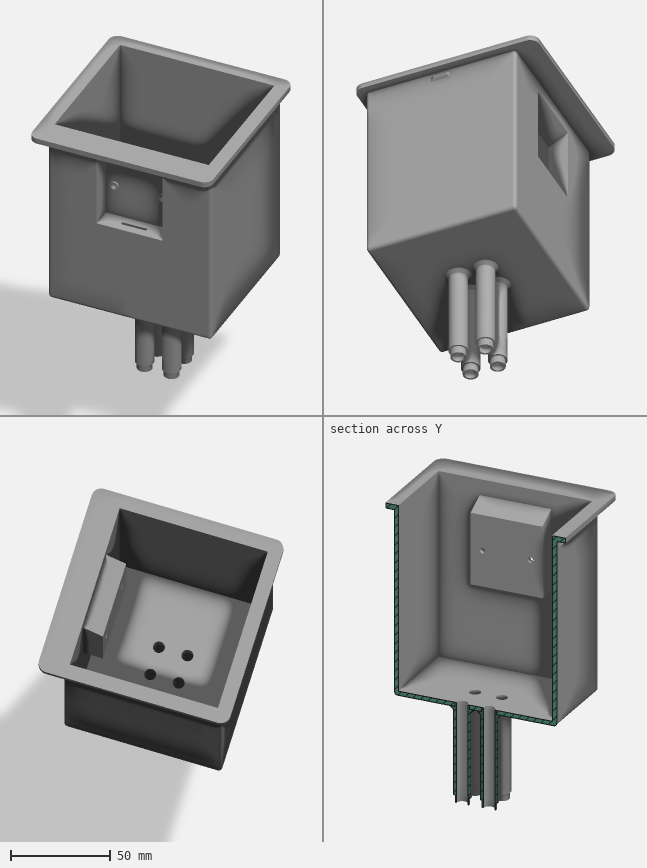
import cadquery as cq


box_length = 90.8
box_width = 83.1
box_height = 105.0
wall = 2.5
edge_radius = 1.9
box_front = -box_width / 2

flange_length = 100.6
flange_width = 100.8
flange_thickness = 3.0
flange_radius = 5.0
flange_rear_overhang = 4.7
flange_center_y = box_width / 2 + flange_rear_overhang - flange_width / 2

pocket_length = 40.0
pocket_height = 46.5
pocket_depth = 13.0
pocket_side_wall = 1.7
pocket_wall = 2.0
pocket_roof_drop = 7.0
pocket_top_setback = 7.5
pocket_top = box_height - pocket_top_setback
pocket_bottom = pocket_top - pocket_height

slot_length = 14.0
slot_width = 1.7
slot_from_front = 5.5

boss_diameter = 5.0
boss_hole_diameter = 3.0
boss_height = 1.0
boss_spacing = 27.0
boss_setback = 34.1
boss_z = box_height - boss_setback

lug_length = 10.0
lug_height = 3.0
lug_protrusion = 1.5
lug_taper = 1.3
lug_setback = 6.0
lug_z = box_height - lug_setback

tube_diameter = 10.0
tube_bore = 6.0
tube_spacing = 15.0
tube_length = 53.0
spigot_diameter = 8.0
spigot_length = 4.1
collar_diameter = 13.6
collar_height = 1.7
tube_places = [
    (x * tube_spacing / 2, y * tube_spacing / 2) for x in (-1, 1) for y in (-1, 1)
]


def block(length, width, height, bottom):
    """Plain block centred in X and Y that stands on the height `bottom`."""
    return (
        cq.Workplane("XY")
        .workplane(offset=bottom)
        .box(length, width, height, centered=(True, True, False))
    )


def make_shell():
    """Box with rounded upright and bottom edges, its flange and its cavity."""
    box = block(box_length, box_width, box_height, 0)
    box = box.edges("|Z or <Z").fillet(edge_radius)
    flange = (
        block(flange_length, flange_width, flange_thickness, box_height - flange_thickness)
        .edges("|Z")
        .fillet(flange_radius)
        .translate((0, flange_center_y, 0))
    )
    cavity = block(box_length - 2 * wall, box_width - 2 * wall, box_height, wall)
    return box.union(flange).cut(cavity)


def pocket_prism(length, front_top, bottom, depth, roof_drop):
    """Prism along X that starts at the box front and has a roof falling towards the back."""
    return (
        cq.Workplane("YZ")
        .moveTo(box_front, bottom)
        .lineTo(box_front + depth, bottom)
        .lineTo(box_front + depth, front_top - roof_drop)
        .lineTo(box_front, front_top)
        .close()
        .extrude(length / 2, both=True)
    )


def add_pocket(shell):
    """Pocket with a sloping roof, a slotted floor and two screw bosses."""
    inner_depth = pocket_depth - pocket_wall
    body = pocket_prism(pocket_length, pocket_top, pocket_bottom, pocket_depth, pocket_roof_drop)
    opening = pocket_prism(
        pocket_length - 2 * pocket_side_wall,
        pocket_top - pocket_wall,
        pocket_bottom + pocket_wall,
        inner_depth,
        pocket_roof_drop * inner_depth / pocket_depth,
    )
    slot = block(slot_length, slot_width, pocket_wall, pocket_bottom).translate(
        (0, box_front + slot_from_front, 0)
    )
    housing = shell.union(body).cut(opening).cut(slot)

    back_face = cq.Workplane("XZ", origin=(0, box_front + inner_depth, boss_z))
    boss_places = [(-boss_spacing / 2, 0), (boss_spacing / 2, 0)]
    bosses = back_face.pushPoints(boss_places).circle(boss_diameter / 2).extrude(boss_height)
    holes = (
        back_face.workplane(offset=-pocket_wall)
        .pushPoints(boss_places)
        .circle(boss_hole_diameter / 2)
        .extrude(pocket_wall + boss_height)
    )
    return housing.union(bosses).cut(holes)


def make_lug():
    """Tapered snap lug on the +X side of the box."""
    return (
        cq.Workplane("YZ", origin=(box_length / 2, 0, lug_z))
        .rect(lug_length, lug_height)
        .workplane(offset=lug_protrusion)
        .rect(lug_length - 2 * lug_taper, lug_height - 2 * lug_taper)
        .loft(combine=True)
    )


def make_housing():
    """Box, flange, pocket and lugs, with a hole in the floor for each tube."""
    housing = add_pocket(make_shell())
    lug = make_lug()
    housing = housing.union(lug).union(lug.mirror("YZ"))
    spigot_holes = (
        cq.Workplane("XY").pushPoints(tube_places).circle(spigot_diameter / 2).extrude(wall)
    )
    return housing.cut(spigot_holes)


def make_tube(place):
    """Stepped tube: spigot in the box floor, conical collar, shank and lower spigot."""
    bore = tube_bore / 2
    spigot = spigot_diameter / 2
    shank = tube_diameter / 2
    shank_end = spigot_length - tube_length
    profile = [
        (bore, -tube_length),
        (spigot, -tube_length),
        (spigot, shank_end),
        (shank, shank_end),
        (shank, -collar_height),
        (collar_diameter / 2, 0),
        (spigot, 0),
        (spigot, wall),
        (bore, wall),
    ]
    tube = cq.Workplane("XZ").polyline(profile).close().revolve(360, (0, 0, 0), (0, 1, 0))
    return tube.translate((place[0], place[1], 0))


housing = make_housing()
tubes = [make_tube(place) for place in tube_places]

result = cq.Compound.makeCompound([housing.val(), *[tube.val() for tube in tubes]])